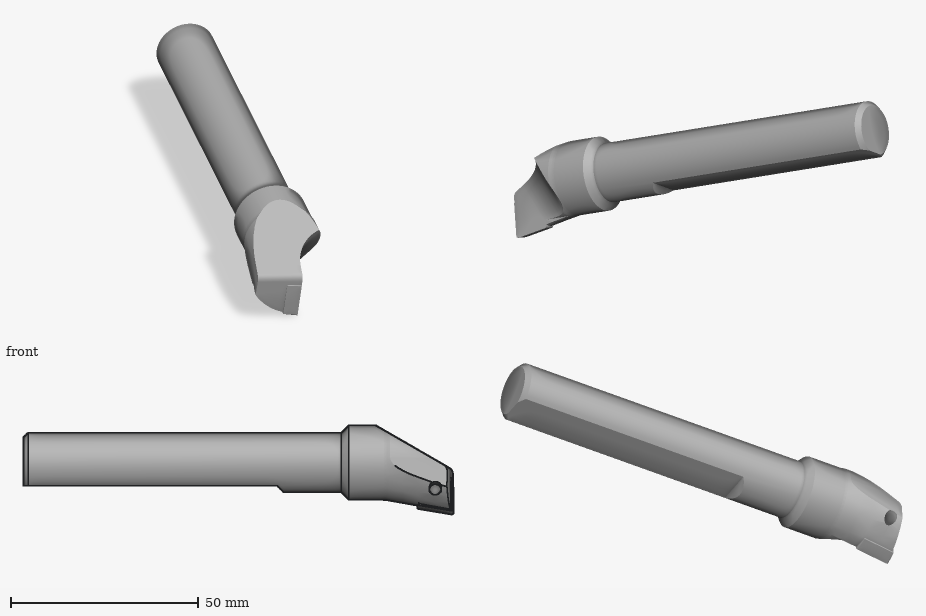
import cadquery as cq
import math


overall_length = 115.0

shank_diameter = 16.0
shank_radius = shank_diameter / 2
end_chamfer = 1.3
flat_height = -6.2
flat_end_x = 67.8
collar_radius = 10.0
collar_start_x = 85.0
collar_end_x = 96.4

flare_angle = math.radians(10)
flare_fillet_length = 0.7
head_reach_x = 117.3
envelope_radius = 10.2
flare_side_y = 0.3

tilt = math.radians(7.6)
top_slope = math.radians(30)
top_plane_start_x = 94.1
tip_x = 114.7
end_relief = math.radians(7.5)
tip_fillet = 2.1

rake_y = 1.7

channel_radius = 10.8
channel_tangent_x = 111.5

insert_z = -8.3
insert_edge = 9.9
insert_corner_angle = 80
insert_turn = -9.5
insert_thickness = 3.9
insert_relief = 7
insert_nose_radius = 0.6
half_corner = math.radians(insert_corner_angle / 2)
nose_centre_distance = insert_edge * math.cos(half_corner) - insert_nose_radius / math.sin(half_corner)
nose_centre_offset_x = nose_centre_distance * math.cos(half_corner - math.radians(insert_turn))
insert_x = overall_length - insert_nose_radius - nose_centre_offset_x
screw_radius = 1.6
screw_length = 6.7

cut_size = 46.0


def rake_point(x, z):
    """Point of the rake plane at the given X and Z."""
    return (x, rake_y + z * math.tan(tilt), z)


def top_plane_z(x):
    """Height of the sloping top plane at the given X."""
    return collar_radius - (x - top_plane_start_x) * math.tan(top_slope)


insert_plane = cq.Plane(
    origin=rake_point(insert_x, insert_z),
    xDir=(1, 0, 0),
    normal=(0, -math.cos(tilt), math.sin(tilt)),
)


def make_blank():
    """Shank, collar and flared head turned about the X axis."""
    collar_taper = collar_radius - shank_radius
    fillet_radius = flare_fillet_length / math.sin(flare_angle)
    fillet_mid = flare_angle / 2
    flare_start_x = collar_end_x + flare_fillet_length
    flare_start_radius = collar_radius + fillet_radius * (1 - math.cos(flare_angle))
    head_radius = flare_start_radius + (head_reach_x - flare_start_x) * math.tan(flare_angle)
    return (
        cq.Workplane("XZ")
        .moveTo(0, 0)
        .lineTo(0, shank_radius - end_chamfer)
        .lineTo(end_chamfer, shank_radius)
        .lineTo(collar_start_x, shank_radius)
        .lineTo(collar_start_x + collar_taper, collar_radius)
        .lineTo(collar_end_x, collar_radius)
        .threePointArc(
            (
                collar_end_x + fillet_radius * math.sin(fillet_mid),
                collar_radius + fillet_radius * (1 - math.cos(fillet_mid)),
            ),
            (flare_start_x, flare_start_radius),
        )
        .lineTo(head_reach_x, head_radius)
        .lineTo(head_reach_x, 0)
        .close()
        .revolve(360, (0, 0, 0), (1, 0, 0))
    )


def make_envelope():
    """Prism along X: a circle, opened downwards between a tilted tangent flat and an upright side."""
    touch_y = -envelope_radius * math.cos(tilt)
    touch_z = envelope_radius * math.sin(tilt)
    floor_y = touch_y - (touch_z + cut_size) * math.tan(tilt)
    side_z = -math.sqrt(envelope_radius**2 - flare_side_y**2)
    return (
        cq.Workplane("YZ")
        .moveTo(touch_y, touch_z)
        .threePointArc((envelope_radius, 0), (flare_side_y, side_z))
        .lineTo(flare_side_y, -cut_size)
        .lineTo(floor_y, -cut_size)
        .close()
        .extrude(head_reach_x)
    )


def make_shank_flat():
    """Cutter for the clamping flat under the shank, with a 45 degree run-out."""
    return (
        cq.Workplane("XZ")
        .moveTo(0, flat_height)
        .lineTo(flat_end_x, flat_height)
        .lineTo(flat_end_x + cut_size, flat_height - cut_size)
        .lineTo(0, flat_height - cut_size)
        .close()
        .extrude(shank_radius, both=True)
    )


def make_top_cut():
    """Cutter above the sloping top plane of the head."""
    far_x = top_plane_start_x + cut_size
    return (
        cq.Workplane("XZ")
        .moveTo(top_plane_start_x, collar_radius)
        .lineTo(far_x, top_plane_z(far_x))
        .lineTo(far_x, cut_size)
        .lineTo(top_plane_start_x, cut_size)
        .close()
        .extrude(cut_size, both=True)
    )


def make_end_cut():
    """Cutter beyond the relieved end face of the head."""
    shift = cut_size * math.tan(end_relief)
    far_x = tip_x + cut_size
    return (
        cq.Workplane("XY")
        .moveTo(tip_x - shift, -cut_size)
        .lineTo(tip_x + shift, cut_size)
        .lineTo(far_x, cut_size)
        .lineTo(far_x, -cut_size)
        .close()
        .extrude(cut_size, both=True)
    )


def make_channel():
    """Chip channel running down the rake plane, its round wall tangent to that plane."""
    tangent_z = top_plane_z(channel_tangent_x)
    arc_middle = math.pi / 4
    plane = cq.Plane(
        origin=rake_point(channel_tangent_x, tangent_z),
        xDir=(
            math.cos(top_slope),
            -math.sin(top_slope) * math.sin(tilt),
            -math.sin(top_slope) * math.cos(tilt),
        ),
        normal=(
            math.sin(top_slope),
            math.cos(top_slope) * math.sin(tilt),
            math.cos(top_slope) * math.cos(tilt),
        ),
    )
    return (
        cq.Workplane(plane)
        .moveTo(cut_size, 0)
        .lineTo(0, 0)
        .threePointArc(
            (-channel_radius * math.sin(arc_middle), channel_radius * (1 - math.cos(arc_middle))),
            (-channel_radius, channel_radius),
        )
        .lineTo(-channel_radius, cut_size)
        .lineTo(cut_size, cut_size)
        .close()
        .extrude(cut_size, both=True)
    )


def make_insert_blank():
    """Rhombic insert without its screw hole, tapering away from the rake face."""
    lean = math.radians(90 - insert_corner_angle)
    half_base = insert_edge / 2
    half_height = half_base * math.cos(lean)
    half_shift = half_base * math.sin(lean)
    corners = [
        (half_base + half_shift, -half_height),
        (half_base - half_shift, half_height),
        (-half_base - half_shift, half_height),
        (-half_base + half_shift, -half_height),
    ]
    outline = cq.Sketch().polygon([*corners, corners[0]]).vertices().fillet(insert_nose_radius)
    return (
        cq.Workplane(insert_plane.rotated((0, 0, insert_turn)))
        .placeSketch(outline)
        .extrude(insert_thickness, taper=insert_relief)
    )


def screw_bore(length):
    """Cylinder on the screw axis, starting at the rake face."""
    return cq.Workplane(insert_plane).circle(screw_radius).extrude(length)


def make_bar():
    """Turned and milled bar with the insert pocket and the screw hole."""
    bar = make_blank().intersect(make_envelope())
    bar = bar.cut(make_shank_flat()).cut(make_top_cut()).cut(make_end_cut())
    bar = bar.edges(cq.NearestToPointSelector((tip_x, 0, top_plane_z(tip_x)))).fillet(tip_fillet)
    bar = bar.cut(make_channel())
    return bar.cut(make_insert_blank()).cut(screw_bore(cut_size))


def make_insert():
    """Insert with its screw hole."""
    return make_insert_blank().cut(screw_bore(insert_thickness))


def make_screw():
    """Plain screw, flush with the rake face and ending inside the bar."""
    return screw_bore(screw_length)


bar = make_bar()
insert = make_insert()
screw = make_screw()

result = cq.Compound.makeCompound([bar.val(), insert.val(), screw.val()])